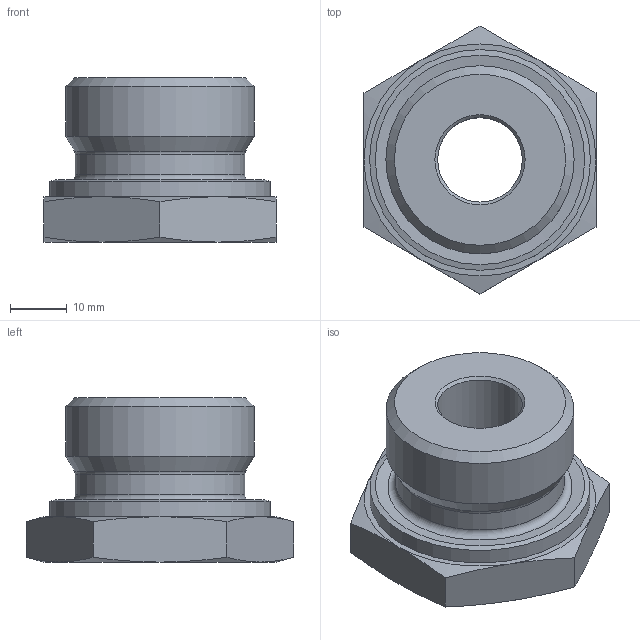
import cadquery as cq
import math

HEX_SIDES = 6
HEX_ACROSS_FLATS = 41.0
HEX_HEIGHT = 8.0
HEX_CHAMFER_ANGLE = 15.0

COLLAR_DIAMETER = 39.0
COLLAR_HEIGHT = 3.0
COLLAR_BEVEL_WIDTH = 1.0
COLLAR_BEVEL_ANGLE = 15.0
COLLAR_DISH_ANGLE = 8.0

NECK_DIAMETER = 29.9
NECK_FILLET = 1.2
HEAD_DIAMETER = 33.25
HEAD_CHAMFER = 1.5
HEAD_UNDERSIDE_Z = 18.7
HEAD_UNDERSIDE_ANGLE = 30.0
TOTAL_HEIGHT = 29.0

BORE_DIAMETER = 14.95
BORE_CHAMFER = 0.5


def rise(run, angle):
    """Height gained over a horizontal run at an angle from horizontal."""
    return run * math.tan(math.radians(angle))


def point_on_arc(center, radius, angle):
    """Point on a circle at an angle in radians from the radial direction."""
    return (center[0] + radius * math.cos(angle), center[1] + radius * math.sin(angle))


def revolve_profile(profile):
    """Spin a closed (radius, height) profile once around the Z axis."""
    return profile.close().revolve(360, (0, 0, 0), (0, 1, 0))


def make_hex():
    """Hexagon with its flats facing +/-X and both ends coned at the corners."""
    half_sector = 180 / HEX_SIDES
    corner_diameter = HEX_ACROSS_FLATS / math.cos(math.radians(half_sector))
    prism = cq.Workplane("XY").polygon(HEX_SIDES, corner_diameter).extrude(HEX_HEIGHT)
    prism = prism.rotate((0, 0, 0), (0, 0, 1), half_sector)

    end_radius = HEX_ACROSS_FLATS / 2
    middle_z = HEX_HEIGHT / 2
    middle_radius = end_radius + middle_z / math.tan(math.radians(HEX_CHAMFER_ANGLE))
    envelope = cq.Workplane("XZ").polyline([
        (0, 0),
        (end_radius, 0),
        (middle_radius, middle_z),
        (end_radius, HEX_HEIGHT),
        (0, HEX_HEIGHT),
    ])
    return prism.intersect(revolve_profile(envelope))


def make_turned_body():
    """Collar, filleted neck and chamfered head as one revolved outline."""
    collar_radius = COLLAR_DIAMETER / 2
    rim_radius = collar_radius - COLLAR_BEVEL_WIDTH
    neck_radius = NECK_DIAMETER / 2
    head_radius = HEAD_DIAMETER / 2

    collar_top = HEX_HEIGHT + COLLAR_HEIGHT
    bevel_bottom = collar_top - rise(COLLAR_BEVEL_WIDTH, COLLAR_BEVEL_ANGLE)

    dish = math.radians(COLLAR_DISH_ANGLE)
    fillet_center_r = neck_radius + NECK_FILLET
    dish_end_r = fillet_center_r + NECK_FILLET * math.sin(dish)
    dish_end_z = collar_top - rise(rim_radius - dish_end_r, COLLAR_DISH_ANGLE)
    neck_bottom = dish_end_z + NECK_FILLET * math.cos(dish)
    lower_center = (fillet_center_r, neck_bottom)
    lower_start_angle = dish - math.pi / 2
    lower_middle_angle = (lower_start_angle - math.pi) / 2
    lower_middle = point_on_arc(lower_center, NECK_FILLET, lower_middle_angle)

    slope = math.radians(HEAD_UNDERSIDE_ANGLE)
    cone_foot_z = HEAD_UNDERSIDE_Z - (head_radius - neck_radius) / math.tan(slope)
    neck_top = cone_foot_z - NECK_FILLET * math.tan(slope / 2)
    upper_center = (fillet_center_r, neck_top)
    upper_middle = point_on_arc(upper_center, NECK_FILLET, math.pi - slope / 2)
    upper_end = point_on_arc(upper_center, NECK_FILLET, math.pi - slope)

    profile = (
        cq.Workplane("XZ")
        .moveTo(0, HEX_HEIGHT)
        .lineTo(collar_radius, HEX_HEIGHT)
        .lineTo(collar_radius, bevel_bottom)
        .lineTo(rim_radius, collar_top)
        .lineTo(dish_end_r, dish_end_z)
        .threePointArc(lower_middle, (neck_radius, neck_bottom))
        .lineTo(neck_radius, neck_top)
        .threePointArc(upper_middle, upper_end)
        .lineTo(head_radius, HEAD_UNDERSIDE_Z)
        .lineTo(head_radius, TOTAL_HEIGHT - HEAD_CHAMFER)
        .lineTo(head_radius - HEAD_CHAMFER, TOTAL_HEIGHT)
        .lineTo(0, TOTAL_HEIGHT)
    )
    return revolve_profile(profile)


def make_bore():
    """Through bore with a chamfered mouth at the top."""
    bore_radius = BORE_DIAMETER / 2
    profile = cq.Workplane("XZ").polyline([
        (0, 0),
        (bore_radius, 0),
        (bore_radius, TOTAL_HEIGHT - BORE_CHAMFER),
        (bore_radius + BORE_CHAMFER, TOTAL_HEIGHT),
        (0, TOTAL_HEIGHT),
    ])
    return revolve_profile(profile)


result = make_hex().union(make_turned_body()).cut(make_bore())